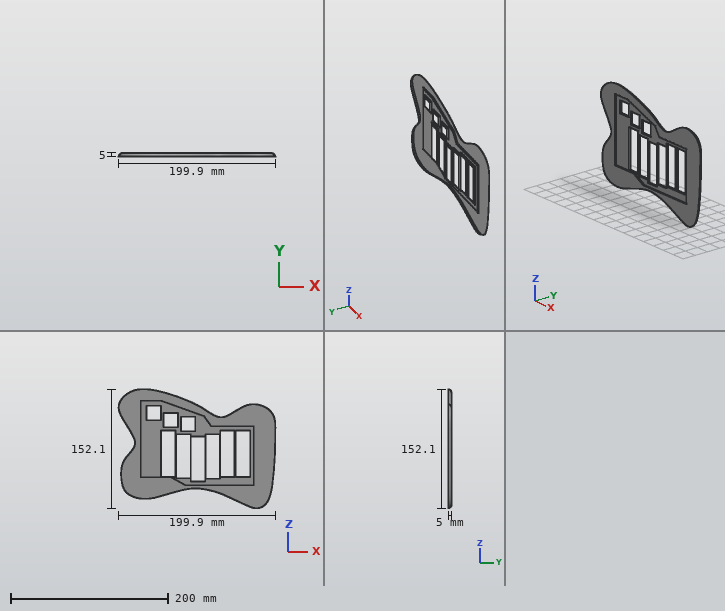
import cadquery as cq

thickness = 5.0
rim_radius = 6.0
blank_thickness = rim_radius + 0.2
trim_size = 600.1

outline_points = [
    (0.2, 132), (4.2, 140), (13.2, 147.6), (22.2, 151.2), (34, 152.2), (50, 150), (68, 145.0),
    (90.5, 136.6), (109.0, 126.8), (122.2, 118.6), (131.5, 116.5), (140.5, 119.2), (154.2, 127.5),
    (168, 132.8), (181.0, 131.6), (193.6, 124), (198.6, 115.0), (199.8, 98), (199.5, 70), (197.5, 41.6),
    (193.0, 16), (187.5, 5.5), (176.8, 0), (164.2, 3.2), (146.5, 11.5), (127.2, 19.8), (113.2, 23.6),
    (98, 25.5), (77.2, 22.2), (59.0, 17.0), (45.2, 13.2), (33.0, 12), (18, 15.0),
    (8.2, 22.2), (3.8, 34), (3.0, 47.0), (6, 59.6), (13.5, 69.8), (19.5, 78), (20.8, 84),
    (18.6, 91.2), (10.2, 106), (2.5, 119.2),
]

recess_depth = 2.0
recess_left = 28.2
recess_right = 172.0
recess_top = 137.2
recess_shoulder = 104.6
recess_step = 40.0
recess_bottom = 29.6
recess_corners = [
    (recess_left, recess_top),
    (54.2, recess_top),
    (108.8, 117.6),
    (118.0, recess_shoulder),
    (recess_right, recess_shoulder),
    (recess_right, recess_bottom),
    (85.2, recess_bottom),
    (66.5, recess_step),
    (recess_left, recess_step),
]

window_width = 18.0
square_window_corners = [(35.8, 112.6), (57.5, 103.6), (79.6, 98.6)]
tall_windows = [
    (54.2, 40.5, 99.2),
    (73.6, 38.6, 94.5),
    (92.2, 34.5, 91.5),
    (111.0, 38.0, 94.5),
    (129.6, 40.5, 99.2),
    (149.5, 40.5, 99.2),
]


def front_plane():
    """Sketch plane on the front face: local X is +X, local Y is +Z, extruding goes to -Y."""
    return cq.Workplane("XZ")


def make_plate():
    """Round the back of a thicker blank, then trim its front away at Y = 0."""
    outline = cq.Workplane("XZ", origin=(0, thickness, 0)).spline(outline_points, periodic=True).close()
    blank = outline.extrude(blank_thickness)
    rounded = blank.faces(">Y").edges().fillet(rim_radius)
    return rounded.intersect(make_trim_box())


def make_trim_box():
    """Box larger than the outline that spans the plate's thickness."""
    return front_plane().rect(trim_size, trim_size).extrude(-thickness)


def make_recess():
    return front_plane().polyline(recess_corners).close().extrude(-recess_depth)


def make_window(left, bottom, height):
    window = front_plane().rect(window_width, height, centered=False).extrude(-thickness)
    return window.translate((left, 0, bottom))


result = make_plate().cut(make_recess())
for left, bottom in square_window_corners:
    result = result.cut(make_window(left, bottom, window_width))
for left, bottom, top in tall_windows:
    result = result.cut(make_window(left, bottom, top - bottom))